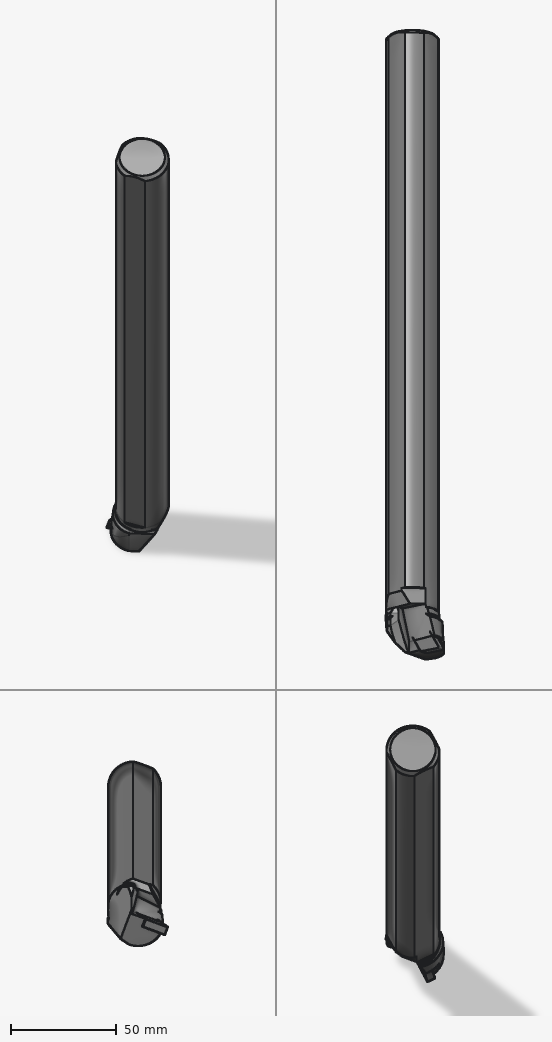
import cadquery as cq
import math

total_height = 306.0
total_width = 29.0
shank_diameter = 25.0
shank_radius = shank_diameter / 2
width_across_flats = 23.0
flat_offset = width_across_flats / 2
end_chamfer = 1.8
flats_bottom = 20.5

collar_bottom = 17.5
collar_radius = 13.0

head_bottom = 1.2
head_radius = 12.5
head_center_x = -2.0
head_center_y = -1.2
head_chamfer = 1.5
cheek_angle = 15.0
lean_angle = 5.0
bend_angle = 45.0
bend_height = 14.5

nose_top_z = 22.0
nose_bottom_x = 2.5

tip_x = shank_radius - total_width
insert_width = 9.5
insert_angle = 55.0
insert_tilt = 3.0
insert_thickness = 4.0
insert_face_y = 0.5
insert_tip_radius = 0.5

relief_x = -15.0
relief_top_z = 6.7
relief_end_y = -7.3

back_step_z = 28.5
back_waist_y = 9.0
back_bulge_y = 11.0
back_bulge_top_z = 19.0
back_bulge_bottom_z = 13.0
back_corner_y = 8.0
back_corner_z = 5.8
back_toe_y = 3.5

pocket_bend_z = 6.7
pocket_outer_x = -16.8
pocket_wall_x = 1.5
pocket_top_z = 22.0
runout_top_z = 29.7
runout_start_x = -12.2
runout_end_x = -3.0
pocket_floor_y = 3.5
pocket_floor_rise = 2.0
wall_bevel = 2.8

margin = 61.2


def make_shank():
    """Round bar, chamfered at the top, with flats on the -X, -Y and +Y sides."""
    bar = (
        cq.Workplane("XY", origin=(0, 0, flats_bottom))
        .circle(shank_radius)
        .extrude(total_height - flats_bottom)
        .faces(">Z")
        .chamfer(end_chamfer)
    )
    between_flats = (
        cq.Workplane("XY", origin=((margin - flat_offset) / 2, 0, flats_bottom))
        .rect(margin + flat_offset, width_across_flats)
        .extrude(total_height - flats_bottom)
    )
    return bar.intersect(between_flats)


def make_collar():
    """Short cone that widens downwards from the round of the shank."""
    return (
        cq.Workplane("XY", origin=(0, 0, collar_bottom))
        .circle(collar_radius)
        .workplane(offset=flats_bottom - collar_bottom)
        .circle(shank_radius)
        .loft()
    )


def make_head_prism():
    """Upright prism: a round side towards -X and a slanted flat cheek on the -Y side."""
    cheek_end_x = shank_radius
    cheek_start_y = head_center_y - head_radius
    cheek_rise = (cheek_end_x - head_center_x) * math.tan(math.radians(cheek_angle))
    diagonal = shank_radius * math.sqrt(0.5)
    return (
        cq.Workplane("XY", origin=(0, 0, head_bottom))
        .moveTo(head_center_x, cheek_start_y)
        .lineTo(cheek_end_x, cheek_start_y + cheek_rise)
        .lineTo(cheek_end_x, 0)
        .threePointArc((diagonal, diagonal), (0, shank_radius))
        .lineTo(head_center_x, head_center_y + head_radius)
        .threePointArc((head_center_x - head_radius, head_center_y), (head_center_x, cheek_start_y))
        .close()
        .extrude(margin)
    )


def make_head():
    """The prism bends on a sloping plane, above which it leans back towards +X."""
    bend = math.radians(bend_angle)
    lean = math.radians(lean_angle)
    run_x = margin * math.cos(bend)
    run_z = margin * math.sin(bend)
    upper_side = (
        cq.Workplane("XZ", origin=(head_center_x, margin, bend_height))
        .polyline([(-run_x, -run_z), (run_x, run_z), (-margin, margin)])
        .close()
        .extrude(2 * margin)
    )
    lower = make_head_prism().cut(upper_side)
    bend_normal = cq.Vector(-math.sin(bend), 0, math.cos(bend))
    bend_face = max(lower.faces("%PLANE").vals(), key=lambda face: face.normalAt().dot(bend_normal))
    lean_vector = cq.Vector(math.sin(lean), 0, math.cos(lean)) * margin
    upper = cq.Workplane(cq.Solid.extrudeLinear(bend_face.outerWire(), [], lean_vector))
    slab = (
        cq.Workplane("XY", origin=(0, 0, head_bottom))
        .rect(2 * margin, 2 * margin)
        .extrude(collar_bottom - head_bottom)
    )
    head = lower.union(upper).intersect(slab)
    return head.faces(">Z").chamfer(head_chamfer)


def make_nose_cut():
    """Wedge removed from the +X side, leaving a face that slopes in towards the bottom."""
    slope = (shank_radius - nose_bottom_x) / (nose_top_z - head_bottom)
    return (
        cq.Workplane("XZ", origin=(0, margin, 0))
        .polyline(
            [
                (nose_bottom_x - slope * head_bottom, 0),
                (shank_radius, nose_top_z),
                (margin, nose_top_z),
                (margin, 0),
            ]
        )
        .close()
        .extrude(2 * margin)
    )


def draw_back_outline(workplane, inset):
    """Edge of the relief on the +Y side; the inset moves the bulge and the round corner inwards."""
    bulge_y = back_bulge_y - inset
    return (
        workplane.moveTo(flat_offset, back_step_z)
        .lineTo(back_waist_y, pocket_top_z)
        .lineTo(bulge_y, back_bulge_top_z)
        .lineTo(bulge_y, back_bulge_bottom_z + inset)
        .threePointArc((back_corner_y - inset, back_corner_z + inset), (back_toe_y - inset, 0))
        .lineTo(margin, 0)
        .lineTo(margin, back_step_z)
        .close()
    )


def make_back_cut():
    """Relief across the +Y side: a sloped step, a low bulge and a rounded lower corner."""
    return draw_back_outline(cq.Workplane("YZ", origin=(-margin, 0, 0)), 0).extrude(2 * margin)


def make_wall_bevel():
    """Bevel along the rounded outer edge of the pocket wall."""
    at_wall = draw_back_outline(cq.Workplane("YZ", origin=(pocket_wall_x, 0, 0)), wall_bevel)
    return draw_back_outline(at_wall.workplane(offset=wall_bevel), 0).loft(ruled=True)


def draw_pocket_outline(workplane, rise):
    """Section of the pocket across X; the rise lifts the upper end of its floor."""
    return workplane.polyline(
        [
            (insert_face_y, 0),
            (insert_face_y, pocket_bend_z),
            (pocket_floor_y + rise, pocket_top_z),
            (margin, pocket_top_z),
            (margin, 0),
        ]
    ).close()


def make_pocket():
    """Chip pocket open towards -X and +Y, with a floor that rises upwards and towards the wall."""
    outer = draw_pocket_outline(cq.Workplane("YZ", origin=(pocket_outer_x, 0, 0)), 0)
    at_wall = outer.workplane(offset=pocket_wall_x - pocket_outer_x)
    return draw_pocket_outline(at_wall, pocket_floor_rise).loft(ruled=True)


def make_runout():
    """Slanted corner cut that carries the pocket up into the shank."""
    start = (runout_start_x, pocket_floor_y)
    end = (runout_end_x, flat_offset)
    return (
        cq.Workplane("XY", origin=(0, 0, pocket_top_z))
        .polyline([start, end, (runout_start_x, flat_offset)])
        .close()
        .extrude(runout_top_z - pocket_top_z)
    )


def make_insert_relief():
    """Notch under the cutting edge, so that the head stays clear behind the insert."""
    slope = math.radians(insert_tilt + insert_angle)
    top_x = relief_x + relief_top_z / math.tan(slope)
    return (
        cq.Workplane("XZ", origin=(0, insert_face_y, 0))
        .polyline([(relief_x, 0), (top_x, relief_top_z), (-margin, relief_top_z), (-margin, 0)])
        .close()
        .extrude(insert_face_y - relief_end_y)
    )


def make_insert():
    """Rhombic plate with rounded sharp corners, standing on its -X corner."""
    edge = insert_width / math.sin(math.radians(insert_angle))
    low = math.radians(insert_tilt)
    high = math.radians(insert_tilt + insert_angle)
    low_edge = (edge * math.cos(low), edge * math.sin(low))
    high_edge = (edge * math.cos(high), edge * math.sin(high))
    plate = (
        cq.Workplane("XZ", origin=(0, insert_face_y, 0))
        .polyline(
            [
                (0, 0),
                low_edge,
                (low_edge[0] + high_edge[0], low_edge[1] + high_edge[1]),
                high_edge,
            ]
        )
        .close()
        .extrude(insert_thickness)
        .edges("|Y and (<X or >X)")
        .fillet(insert_tip_radius)
    )
    bounds = plate.val().BoundingBox()
    return plate.translate((tip_x - bounds.xmin, 0, -bounds.zmin))


def make_holder(seated_insert):
    """Shank, collar and head in one piece, cut out for the insert and the chips."""
    body = make_shank().union(make_collar()).union(make_head())
    body = body.cut(make_nose_cut())
    body = body.cut(make_back_cut())
    body = body.cut(make_wall_bevel())
    body = body.cut(make_pocket())
    body = body.cut(make_runout())
    body = body.cut(make_insert_relief())
    return body.cut(seated_insert)


insert = make_insert()
holder = make_holder(insert)

result = cq.Compound.makeCompound([holder.val(), insert.val()])